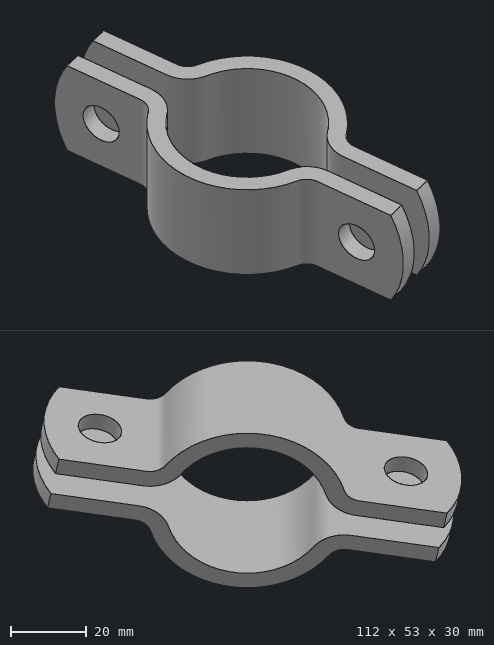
import cadquery as cq
import math

length = 112.0
depth = 53.0
height = 30.0

thickness = 5.0
gap = 7.0
bend_radius = 5.0
hole_diameter = 11.5
hole_spacing = 82.0
end_radius = height

saddle_outer = depth / 2
saddle_inner = saddle_outer - thickness
flange_inner = gap / 2
flange_outer = flange_inner + thickness

bend_y = flange_outer + bend_radius
bend_distance = saddle_outer + bend_radius
bend_x = math.sqrt(bend_distance**2 - bend_y**2)
saddle_angle = math.atan2(bend_y, bend_x)
bend_middle_angle = (saddle_angle + math.pi + 3 * math.pi / 2) / 2


def saddle_point(radius, angle):
    """Point on a circle around the pipe axis."""
    return (radius * math.cos(angle), radius * math.sin(angle))


def bend_point(radius):
    """Middle point of the right-hand bend arc of the given radius."""
    x = bend_x + radius * math.cos(bend_middle_angle)
    y = bend_y + radius * math.sin(bend_middle_angle)
    return (x, y)


def mirrored(point):
    """Same point on the left-hand side."""
    return (-point[0], point[1])


def bent_strap():
    """Strap of constant thickness: flange, bend, saddle, bend, flange."""
    outer_end = saddle_point(saddle_outer, saddle_angle)
    inner_end = saddle_point(saddle_inner, saddle_angle)
    outer_bend = bend_point(bend_radius)
    inner_bend = bend_point(bend_radius + thickness)
    return (
        cq.Workplane("XY")
        .workplane(offset=-height / 2)
        .moveTo(-length / 2, flange_outer)
        .lineTo(-bend_x, flange_outer)
        .threePointArc(mirrored(outer_bend), mirrored(outer_end))
        .threePointArc((0, saddle_outer), outer_end)
        .threePointArc(outer_bend, (bend_x, flange_outer))
        .lineTo(length / 2, flange_outer)
        .lineTo(length / 2, flange_inner)
        .lineTo(bend_x, flange_inner)
        .threePointArc(inner_bend, inner_end)
        .threePointArc((0, saddle_inner), mirrored(inner_end))
        .threePointArc(mirrored(inner_bend), (-bend_x, flange_inner))
        .lineTo(-length / 2, flange_inner)
        .close()
        .extrude(height)
    )


def end_outline():
    """Block along Y whose two ends are arcs, used to round the flange ends."""
    arc_rise = end_radius - math.sqrt(end_radius**2 - (height / 2) ** 2)
    corner_x = length / 2 - arc_rise
    return (
        cq.Workplane("XZ")
        .moveTo(-corner_x, -height / 2)
        .lineTo(corner_x, -height / 2)
        .threePointArc((length / 2, 0), (corner_x, height / 2))
        .lineTo(-corner_x, height / 2)
        .threePointArc((-length / 2, 0), (-corner_x, -height / 2))
        .close()
        .extrude(depth, both=True)
    )


def bolt_holes():
    """Cylinders along Y that cut one hole through each flange."""
    return (
        cq.Workplane("XZ")
        .pushPoints([(-hole_spacing / 2, 0), (hole_spacing / 2, 0)])
        .circle(hole_diameter / 2)
        .extrude(depth, both=True)
    )


def clamp_half(turn):
    """One clamp half, turned about the pipe axis by the given angle in degrees."""
    half = bent_strap().intersect(end_outline()).cut(bolt_holes())
    return half.rotate((0, 0, 0), (0, 0, 1), turn)


clamp_halves = [clamp_half(turn).val() for turn in (0, 180)]

result = cq.Compound.makeCompound([solid for half in clamp_halves for solid in half.Solids()])